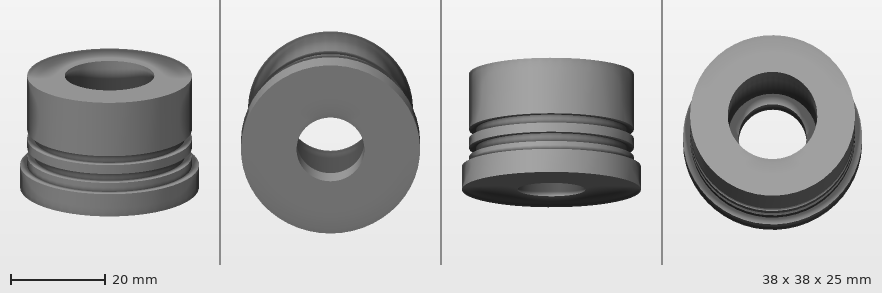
import cadquery as cq

total_height = 25.0
body_diameter = 35.0

flange_diameter = 38.0
flange_height = 5.0

groove_diameter = 32.0
groove_width = 2.0
land_width = 2.0
groove_count = 2

through_diameter = 14.4
bore_diameter = 19.0
bore_floor = flange_height


def cylinder(diameter, bottom, height):
    """Solid cylinder on the Z axis, starting at the given height."""
    return cq.Workplane("XY").workplane(offset=bottom).circle(diameter / 2).extrude(height)


def ring_groove(bottom):
    """Annular cutter that reduces the body to the groove diameter."""
    outer = cylinder(body_diameter, bottom, groove_width)
    core = cylinder(groove_diameter, bottom, groove_width)
    return outer.cut(core)


def flanged_body():
    """Plain body standing on its wider flange."""
    flange = cylinder(flange_diameter, 0, flange_height)
    body = cylinder(body_diameter, flange_height, total_height - flange_height)
    return flange.union(body)


def stepped_bore():
    """Cutter for the through hole and the wider bore above it."""
    through_hole = cylinder(through_diameter, 0, total_height)
    wide_bore = cylinder(bore_diameter, bore_floor, total_height - bore_floor)
    return through_hole.union(wide_bore)


result = flanged_body().cut(stepped_bore())
groove_pitch = land_width + groove_width
for index in range(groove_count):
    groove_bottom = flange_height + land_width + index * groove_pitch
    result = result.cut(ring_groove(groove_bottom))